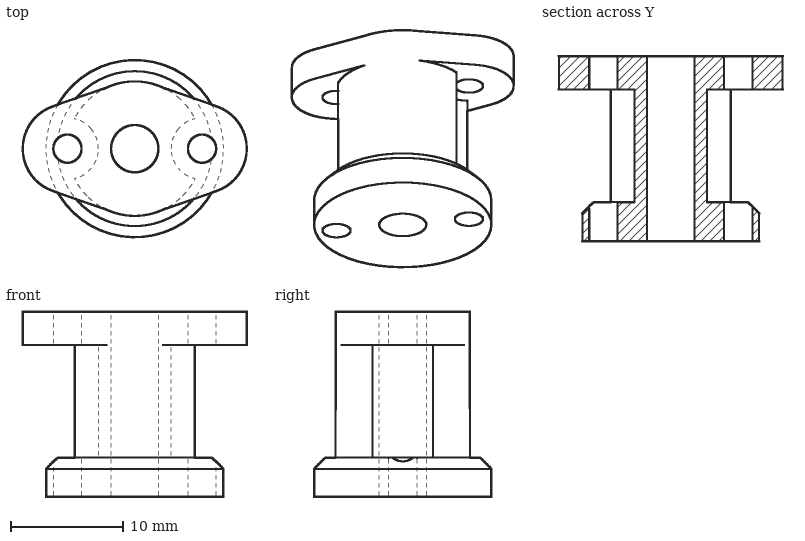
import cadquery as cq
import math

flange_diameter = 15.8
flange_height = 3.5
flange_chamfer = 1.0
column_diameter = 11.98
total_height = 16.5
plate_thickness = 3.0
plate_length = 19.97
end_radius = 4.0
crown_half_width = 2.5
bore_diameter = 4.2
screw_hole_diameter = 2.5
relief_diameter = 5.5

plate_bottom = total_height - plate_thickness
screw_offset = plate_length / 2 - end_radius
screw_positions = [(-screw_offset, 0), (screw_offset, 0)]

column_radius = column_diameter / 2
crown_edge_y = math.sqrt(column_radius**2 - crown_half_width**2)

edge_from_end_x = crown_half_width - screw_offset
edge_distance = math.hypot(edge_from_end_x, crown_edge_y)
edge_angle = math.atan2(crown_edge_y, edge_from_end_x)
tangent_angle = edge_angle - math.acos(end_radius / edge_distance)
flank_outer_x = screw_offset + end_radius * math.cos(tangent_angle)
flank_outer_y = end_radius * math.sin(tangent_angle)

flank_distance = screw_offset * math.cos(tangent_angle) + end_radius
flank_inner_x = flank_distance * math.cos(tangent_angle)
flank_inner_y = flank_distance * math.sin(tangent_angle)


def make_flange():
    flange = cq.Workplane("XY").circle(flange_diameter / 2).extrude(flange_height)
    return flange.faces(">Z").chamfer(flange_chamfer)


def make_column():
    base = cq.Workplane("XY").workplane(offset=flange_height)
    column = base.circle(column_radius).extrude(total_height - flange_height)
    reliefs = (
        base.pushPoints(screw_positions)
        .circle(relief_diameter / 2)
        .extrude(plate_bottom - flange_height)
    )
    return column.cut(reliefs)


def make_plate():
    return (
        cq.Workplane("XY")
        .workplane(offset=plate_bottom)
        .moveTo(-flank_inner_x, flank_inner_y)
        .lineTo(flank_inner_x, flank_inner_y)
        .lineTo(flank_outer_x, flank_outer_y)
        .threePointArc((plate_length / 2, 0), (flank_outer_x, -flank_outer_y))
        .lineTo(flank_inner_x, -flank_inner_y)
        .lineTo(-flank_inner_x, -flank_inner_y)
        .lineTo(-flank_outer_x, -flank_outer_y)
        .threePointArc((-plate_length / 2, 0), (-flank_outer_x, flank_outer_y))
        .close()
        .extrude(plate_thickness)
    )


def make_through_holes():
    bore = cq.Workplane("XY").circle(bore_diameter / 2).extrude(total_height)
    screw_holes = (
        cq.Workplane("XY")
        .pushPoints(screw_positions)
        .circle(screw_hole_diameter / 2)
        .extrude(total_height)
    )
    return bore.union(screw_holes)


result = make_flange().union(make_column()).union(make_plate()).cut(make_through_holes())